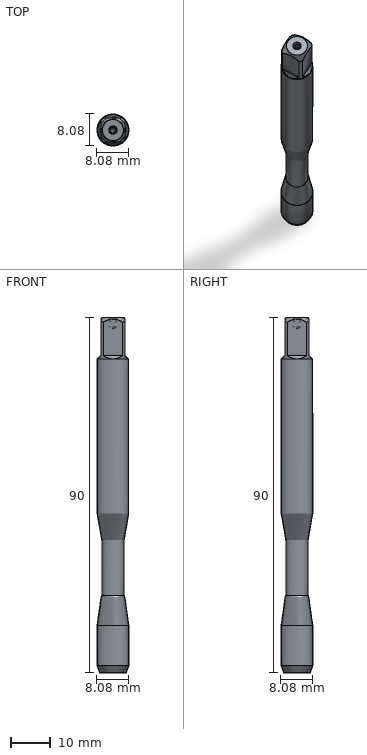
import cadquery as cq
import math

total_length = 90.0
thread_length = 12.0
relief_top = 19.1
neck_start = 19.6
neck_end = 33.55
shank_start = 40.3
shank_end = 79.4

thread_diameter = 8.08
tip_diameter = 6.7
lead_length = 1.85

relief_base_diameter = 8.04
relief_top_diameter = 6.05
neck_diameter = 5.65
shank_diameter = 8.0

flat_count = 4
square_width = 6.15
square_length = 9.7
drive_diameter = 7.8
shoulder_angle = 45.0
runout_angle = 45.0
top_face_diameter = 5.35
top_chamfer_angle = 45.0

countersink_diameter = 2.1
countersink_angle = 60.0
centre_hole_diameter = 1.5
centre_hole_depth = 2.5
drill_point_angle = 118.0


def revolved(profile):
    """Revolve a closed (radius, height) profile around the Z axis."""
    return cq.Workplane("XZ").polyline(profile).close().revolve(360, (0, 0, 0), (0, 1, 0))


def make_threaded_head():
    """Plain cylinder at the thread's outer diameter with a tapered lead."""
    return revolved([
        (0, 0),
        (tip_diameter / 2, 0),
        (thread_diameter / 2, lead_length),
        (thread_diameter / 2, thread_length),
        (0, thread_length),
    ])


def make_shank_blank():
    """Turned shank: relief cone, neck, neck cone, shank and coned driving end."""
    shank_radius = shank_diameter / 2
    drive_radius = drive_diameter / 2
    shoulder_height = (shank_radius - drive_radius) * math.tan(math.radians(shoulder_angle))
    chamfer_width = (drive_diameter - top_face_diameter) / 2
    chamfer_height = chamfer_width * math.tan(math.radians(top_chamfer_angle))
    return revolved([
        (0, thread_length),
        (relief_base_diameter / 2, thread_length),
        (relief_top_diameter / 2, relief_top),
        (neck_diameter / 2, neck_start),
        (neck_diameter / 2, neck_end),
        (shank_radius, shank_start),
        (shank_radius, shank_end),
        (drive_radius, shank_end + shoulder_height),
        (drive_radius, total_length - chamfer_height),
        (top_face_diameter / 2, total_length),
        (0, total_length),
    ])


def make_flat_cutter():
    """Material removed for one flat of the square, with a sloped runout at its lower end."""
    flat_distance = square_width / 2
    flat_bottom = total_length - square_length
    reach = shank_diameter
    runout_drop = (reach - flat_distance) * math.tan(math.radians(runout_angle))
    return (
        cq.Workplane("XZ")
        .polyline([
            (flat_distance, total_length),
            (flat_distance, flat_bottom),
            (reach, flat_bottom - runout_drop),
            (reach, total_length),
        ])
        .close()
        .extrude(shank_diameter / 2, both=True)
    )


def make_centre_hole():
    """Countersunk blind hole with a conical bottom, as a solid to remove."""
    hole_radius = centre_hole_diameter / 2
    point_depth = hole_radius / math.tan(math.radians(drill_point_angle / 2))
    hole_bottom = total_length - centre_hole_depth
    countersink_width = countersink_diameter / 2 - hole_radius
    countersink_depth = countersink_width / math.tan(math.radians(countersink_angle / 2))
    return revolved([
        (0, total_length),
        (countersink_diameter / 2, total_length),
        (hole_radius, total_length - countersink_depth),
        (hole_radius, hole_bottom),
        (0, hole_bottom - point_depth),
    ])


def make_shank():
    """Turned shank with its driving square and centre hole cut in."""
    shank = make_shank_blank()
    flat_cutter = make_flat_cutter()
    for flat_index in range(flat_count):
        flat_angle = flat_index * 360 / flat_count
        shank = shank.cut(flat_cutter.rotate((0, 0, 0), (0, 0, 1), flat_angle))
    return shank.cut(make_centre_hole())


threaded_head = make_threaded_head()
shank = make_shank()

result = cq.Compound.makeCompound([threaded_head.val(), shank.val()])